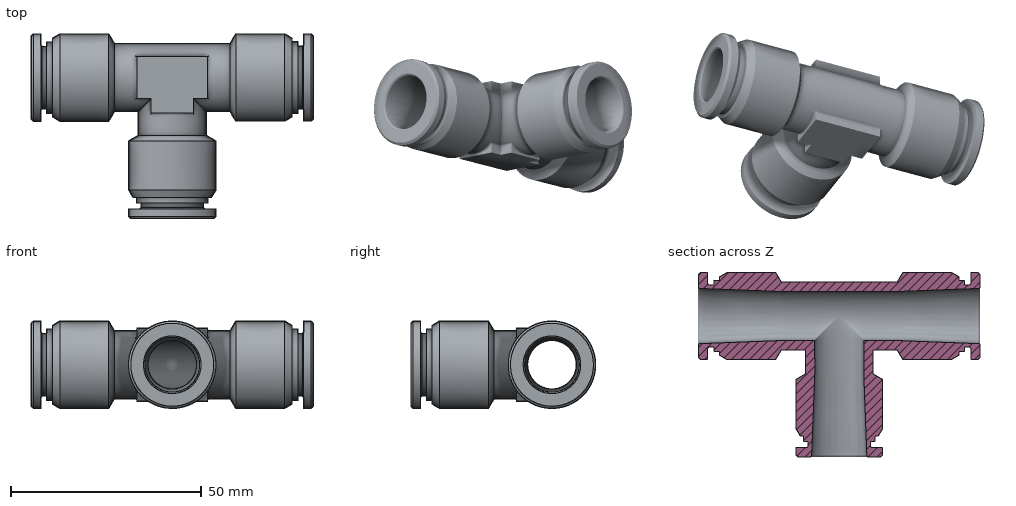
import cadquery as cq

port_reach = 37.1
neck_radius = 9.0
body_radius = 11.5

flange_thickness = 2.6
flange_chamfer = 0.6
groove_end = 4.1
collar_end = 5.6
body_taper_end = 7.6
body_end = 20.4
shoulder_end = 21.9

groove_radius = 8.25
groove_flare = 0.3
collar_radius = 9.4
body_end_radius = 10.3

bore_radius = 6.4
mouth_radius = 7.2
mouth_chamfer = 0.4

pad_height = 9.65
pad_long = 9.3
pad_short = 5.6
pad_foot_fillet = 0.45
edge_tolerance = 0.1


def revolve_port(profile):
    """Turn (distance inward, radius) points about the axis of the +X port."""
    points = [(port_reach - inward, radius) for inward, radius in profile]
    points = [(port_reach - profile[0][0], 0)] + points + [(port_reach - profile[-1][0], 0)]
    return cq.Workplane("XY").polyline(points).close().revolve(360, (0, 0, 0), (1, 0, 0))


def on_all_ports(shape):
    """Join copies of a +X port shape turned to +X, -X and -Y."""
    copies = [shape.rotate((0, 0, 0), (0, 0, 1), angle) for angle in (0, 180, -90)]
    return copies[0].union(copies[1]).union(copies[2])


def make_tee_core():
    """Plain crossing necks with a filleted T-shaped pad above and below."""
    neck = revolve_port([(body_end, neck_radius), (port_reach, neck_radius)])
    pad = (
        cq.Workplane("XY")
        .polyline([
            (-pad_long, pad_short),
            (pad_long, pad_short),
            (pad_long, -pad_short),
            (pad_short, -pad_short),
            (pad_short, -pad_long),
            (-pad_short, -pad_long),
            (-pad_short, -pad_short),
            (-pad_long, -pad_short),
        ])
        .close()
        .extrude(pad_height, both=True)
    )
    core = on_all_ports(neck).union(pad)

    def is_pad_foot(edge):
        box = edge.BoundingBox()
        within_pad = max(box.xmax, -box.xmin, -box.ymin) < pad_long + edge_tolerance
        return within_pad and neck_radius / 2 < abs(box.center.z) < pad_height - edge_tolerance

    return core.edges("not |Z").filter(is_pad_foot).fillet(pad_foot_fillet)


def make_port_body():
    """Outside of one port: flange, groove, collar and tapered body."""
    return revolve_port([
        (0, body_radius - flange_chamfer),
        (flange_chamfer, body_radius),
        (flange_thickness, body_radius),
        (flange_thickness, groove_radius + groove_flare),
        (flange_thickness + groove_flare, groove_radius),
        (groove_end, groove_radius),
        (groove_end, collar_radius),
        (collar_end, collar_radius),
        (collar_end, body_end_radius),
        (body_taper_end, body_radius),
        (body_end, body_radius),
        (shoulder_end, neck_radius),
    ])


def make_port_bore():
    """Bore of one port, narrowing from the mouth to the neck and reaching the tee centre."""
    return revolve_port([
        (0, mouth_radius + mouth_chamfer),
        (mouth_chamfer, mouth_radius),
        (shoulder_end, bore_radius),
        (port_reach, bore_radius),
    ])


outside = make_tee_core().union(on_all_ports(make_port_body()))
result = outside.cut(on_all_ports(make_port_bore()))